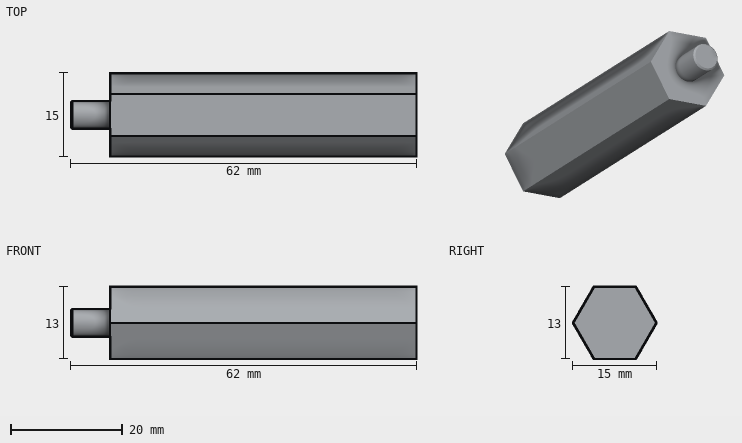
import cadquery as cq
import math

across_flats = 13.0
body_length = 55.0
stud_diameter = 5.0
stud_length = 7.0
stud_tip_chamfer = 0.3

across_corners = across_flats / math.cos(math.radians(30))


def hex_body():
    """Hexagonal bar along +X, with flats facing +Z and -Z and corners at +Y and -Y."""
    return cq.Workplane("YZ").polygon(6, across_corners).extrude(body_length)


def stud():
    """Round stud along -X from the body's end face, with a chamfered tip."""
    blank = cq.Workplane("YZ").circle(stud_diameter / 2).extrude(-stud_length)
    return blank.faces("<X").chamfer(stud_tip_chamfer)


result = hex_body().union(stud())